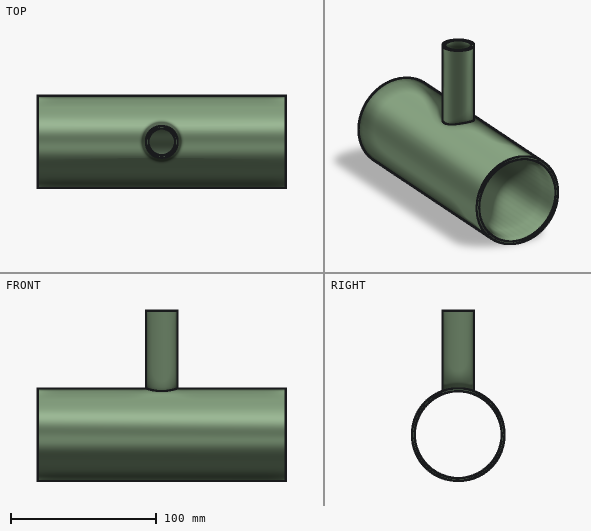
import cadquery as cq

run_length = 170.0
run_outer_diameter = 63.5
run_bore_diameter = 59.5

branch_outer_diameter = 21.8
branch_bore_diameter = 18.4
branch_top = 85.0


def run_cylinder(diameter):
    """Cylinder along the full length of the main pipe."""
    return cq.Workplane("YZ").circle(diameter / 2).extrude(run_length / 2, both=True)


def branch_cylinder(diameter):
    """Cylinder from the main pipe axis up to the open end of the branch."""
    return cq.Workplane("XY").circle(diameter / 2).extrude(branch_top)


outer_body = run_cylinder(run_outer_diameter).union(branch_cylinder(branch_outer_diameter))
result = outer_body.cut(run_cylinder(run_bore_diameter)).cut(branch_cylinder(branch_bore_diameter))